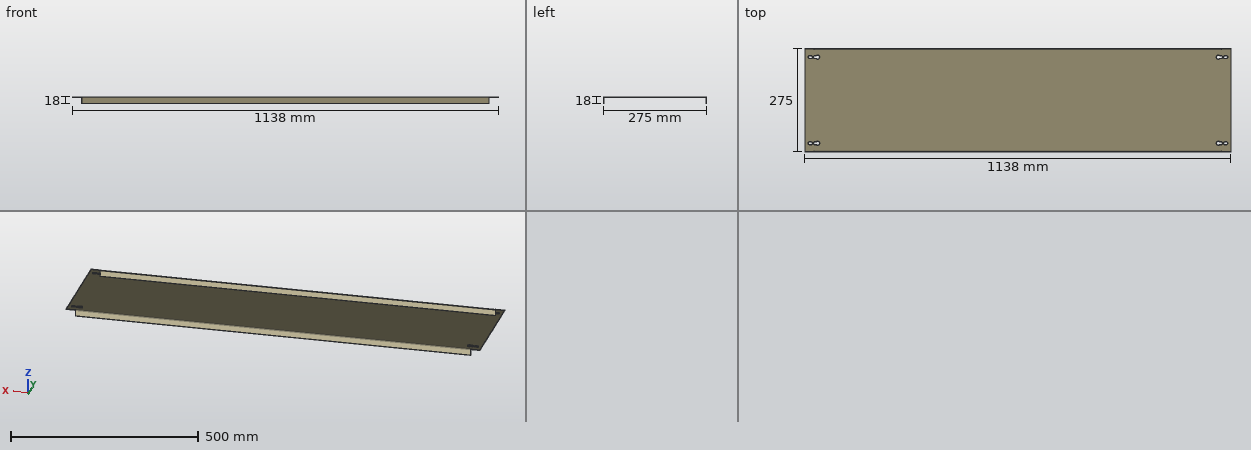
import cadquery as cq

length = 1138.0
width = 275.0
height = 18.0
sheet = 1.5
cut_reach = 2 * sheet

flange_inset = 25.0
bend_inner_radius = 0.3
bend_outer_radius = bend_inner_radius + sheet

opening_edge_y = 23.0
slot_width = 7.0
slot_start = 9.0
slot_end = 20.0
keyhole_start = 23.0
hole_diameter = 10.0
hole_center = 34.0


def make_plate():
    """Flat panel with its top face at Z = 0."""
    return cq.Workplane("XY").box(length, width, sheet, centered=(True, True, False)).translate((0, 0, -sheet))


def make_folded_body():
    """Channel section with rounded bends, shorter than the panel."""
    flange_length = length - 2 * flange_inset
    body = cq.Workplane("XY").box(flange_length, width, height, centered=(True, True, False))
    body = body.translate((0, 0, -height)).edges("|X and >Z").fillet(bend_outer_radius)
    cavity = cq.Workplane("XY").box(flange_length, width - 2 * sheet, height, centered=(True, True, False))
    cavity = cavity.translate((0, 0, -height - sheet)).edges("|X and >Z").fillet(bend_inner_radius)
    return body.cut(cavity)


def make_panel():
    """End strips of flat plate joined to the folded middle."""
    folded = make_folded_body()
    middle = cq.Workplane("XY").box(length - 2 * flange_inset, width, 2 * height)
    return make_plate().cut(middle).union(folded)


def oblong(start, end):
    """Cutter for a horizontal slot between two X positions."""
    span = end - start
    return (
        cq.Workplane("XY")
        .center((start + end) / 2, 0)
        .slot2D(span, slot_width)
        .extrude(cut_reach, both=True)
    )


def corner_cutter():
    """Slot and keyhole for the corner at minimum X and minimum Y."""
    hole = (
        cq.Workplane("XY")
        .center(hole_center, 0)
        .circle(hole_diameter / 2)
        .extrude(cut_reach, both=True)
    )
    cutter = oblong(slot_start, slot_end).union(oblong(keyhole_start, hole_center)).union(hole)
    return cutter.translate((-length / 2, -width / 2 + opening_edge_y, 0))


cutter = corner_cutter()
opposite_cutter = cutter.mirror("YZ")
result = make_panel()
for side_cutter in (cutter, opposite_cutter):
    result = result.cut(side_cutter).cut(side_cutter.mirror("XZ"))